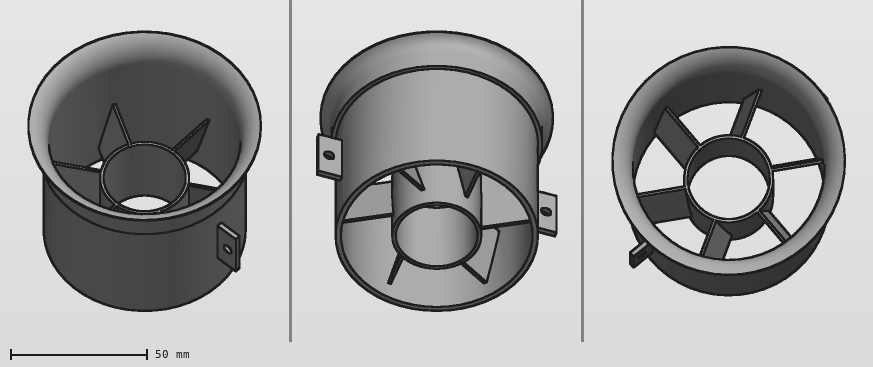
import cadquery as cq
import math

duct_diameter = 74.0
bore_diameter = 70.0
collar_diameter = 77.0
mouth_diameter = 85.0
total_height = 64.3
collar_bottom = 50.0
collar_top = 58.0
flare_start = 54.2
lip_height = 0.4
lip_width = 0.1

hub_diameter = 32.6
hub_bore = 30.0
hub_height = 31.8
vane_count = 6
vane_height = 24.0
vane_span = 6.8
vane_thickness = 1.1
wall_overlap = 0.5

tab_tip_span = 92.0
tab_thickness = 2.0
tab_height = 20.0
tab_center_z = 27.5
tab_hole_diameter = 3.8
tab_hole_x = 41.95


def tangent_arc_middle(start, end):
    """Middle of an arc that leaves start vertically and curves outward to end."""
    width = end[0] - start[0]
    height = end[1] - start[1]
    radius = (width**2 + height**2) / (2 * width)
    half_sweep = math.asin(height / radius) / 2
    return (
        start[0] + radius * (1 - math.cos(half_sweep)),
        start[1] + radius * math.sin(half_sweep),
    )


def make_duct():
    """Revolved tube with a raised collar and a flared mouth."""
    outer_start = (collar_diameter / 2, collar_top)
    outer_end = (mouth_diameter / 2, total_height - lip_height)
    inner_start = (bore_diameter / 2, flare_start)
    inner_end = (mouth_diameter / 2 - lip_width, total_height)
    return (
        cq.Workplane("XZ")
        .moveTo(bore_diameter / 2, 0)
        .lineTo(duct_diameter / 2, 0)
        .lineTo(duct_diameter / 2, collar_bottom)
        .lineTo(collar_diameter / 2, collar_bottom)
        .lineTo(*outer_start)
        .threePointArc(tangent_arc_middle(outer_start, outer_end), outer_end)
        .lineTo(mouth_diameter / 2, total_height)
        .lineTo(*inner_end)
        .threePointArc(tangent_arc_middle(inner_start, inner_end), inner_start)
        .close()
        .revolve(360, (0, 0, 0), (0, 1, 0))
    )


def make_hub():
    """Open central tube standing level with the bottom of the duct."""
    return cq.Workplane("XY").circle(hub_diameter / 2).circle(hub_bore / 2).extrude(hub_height)


def make_vane():
    """Leaning flat vane reaching from the hub to the duct along +Y."""
    vane_bottom = hub_height - vane_height
    blade = (
        cq.Workplane("XZ")
        .polyline([
            (0, hub_height),
            (-vane_thickness, hub_height),
            (-vane_span, vane_bottom),
            (vane_thickness - vane_span, vane_bottom),
        ])
        .close()
        .extrude(-duct_diameter / 2)
    )
    sleeve = (
        cq.Workplane("XY")
        .circle(bore_diameter / 2 + wall_overlap)
        .circle(hub_diameter / 2 - wall_overlap)
        .extrude(total_height)
    )
    return blade.intersect(sleeve)


def make_tab():
    """Drilled mounting tab on the +X side, rooted in the duct wall."""
    root_x = bore_diameter / 2 + wall_overlap
    length = tab_tip_span / 2 - root_x
    plate = (
        cq.Workplane("XY")
        .box(length, tab_thickness, tab_height)
        .translate((root_x + length / 2, 0, tab_center_z))
    )
    hole = (
        cq.Workplane("XZ", origin=(tab_hole_x, 0, tab_center_z))
        .circle(tab_hole_diameter / 2)
        .extrude(tab_thickness, both=True)
    )
    return plate.cut(hole)


result = make_duct().union(make_hub())

vane = make_vane()
for index in range(vane_count):
    result = result.union(vane.rotate((0, 0, 0), (0, 0, 1), index * 360 / vane_count))

tab = make_tab()
for angle in (0, 180):
    result = result.union(tab.rotate((0, 0, 0), (0, 0, 1), angle))